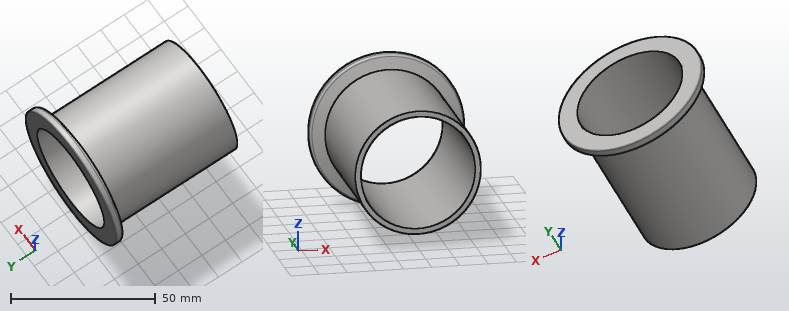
import cadquery as cq
import math

length = 55.0
flange_radius = 27.5
tube_radius = 22.3
bore_radius = 20.25
flange_depth = 4.4
cone_angle = 15.0
back_edge_fillet = 1.0
face_edge_fillet = 0.3

cone_drop = (flange_radius - tube_radius) * math.tan(math.radians(cone_angle))
cone_end_y = length - flange_depth
rim_start_y = cone_end_y + cone_drop


def ring_at(y):
    """Selector for the rim edge lying in the plane at the given Y."""
    margin = 0.05
    reach = flange_radius + margin
    return cq.selectors.BoxSelector(
        (-reach, y - margin, -reach), (reach, y + margin, reach), boundingbox=True
    )


body = (
    cq.Workplane("XY")
    .moveTo(0, 0)
    .lineTo(tube_radius, 0)
    .lineTo(tube_radius, cone_end_y)
    .lineTo(flange_radius, rim_start_y)
    .lineTo(flange_radius, length)
    .lineTo(0, length)
    .close()
    .revolve(360, (0, 0, 0), (0, 1, 0))
)

body = body.edges(ring_at(rim_start_y)).fillet(back_edge_fillet)
body = body.edges(ring_at(length)).fillet(face_edge_fillet)

bore = cq.Workplane("XZ").circle(bore_radius).extrude(-length)
result = body.cut(bore)